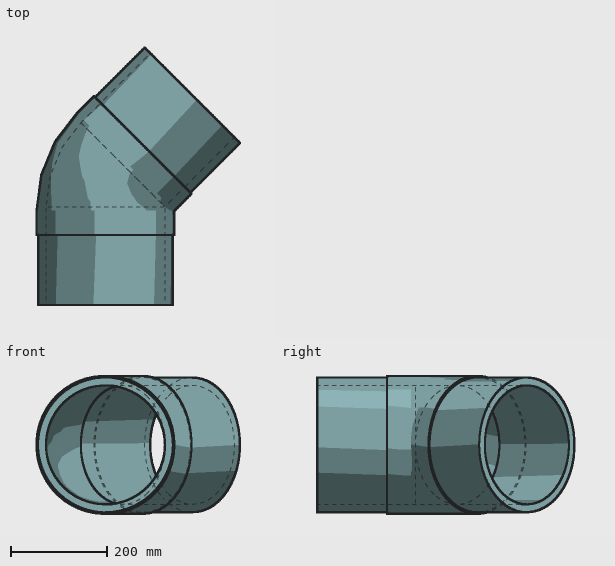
import math

import cadquery as cq


BEND_ANGLE = 45.0
BEND_DIAMETER = 286.64
BEND_BORE = 246.6
SPIGOT_DIAMETER = 280.0
SPIGOT_BORE = 246.8
COLLAR_LENGTH = 50.0
LEG_LENGTH = 195.56
THROAT_RADIUS = 0.18

BEND_RADIUS = BEND_DIAMETER / 2 + THROAT_RADIUS
BORE_RADIUS = BEND_BORE / 2 + THROAT_RADIUS

BORE_START = (BEND_RADIUS - BORE_RADIUS) * math.tan(math.radians(BEND_ANGLE / 2))


def bend(diameter, radius, start_y):
    """Round bar through the bend angle, turning toward +X, with its first end at start_y."""
    bar = (
        cq.Workplane("XZ")
        .circle(diameter / 2)
        .revolve(BEND_ANGLE, (radius, 0), (radius, -1))
    )
    return bar.translate((0, start_y, 0))


def straight(diameter, end_y, start_y=0.0):
    """Round bar along the Y axis from start_y back to end_y."""
    return cq.Workplane("XZ", origin=(0, start_y, 0)).circle(diameter / 2).extrude(start_y - end_y)


def with_far_end(leg):
    """Return the leg together with its copy at the other end of the bend."""
    flipped = leg.mirror("XZ")
    far_leg = flipped.rotate((BEND_RADIUS, 0, 0), (BEND_RADIUS, 0, 1), -BEND_ANGLE)
    return leg, far_leg


def make_outside():
    """Outer bend with a collar and a spigot at each end."""
    collar = straight(BEND_DIAMETER, -COLLAR_LENGTH)
    spigot = straight(SPIGOT_DIAMETER, -LEG_LENGTH)
    body = bend(BEND_DIAMETER, BEND_RADIUS, 0.0)
    for leg in with_far_end(collar.union(spigot)):
        body = body.union(leg)
    return body


def cut_bore(body):
    """Cut the curved bore and the slightly wider straight bore from each mouth."""
    body = body.cut(bend(BEND_BORE, BORE_RADIUS, BORE_START))
    for leg in with_far_end(straight(SPIGOT_BORE, -LEG_LENGTH, BORE_START)):
        body = body.cut(leg)
    return body


result = cut_bore(make_outside())